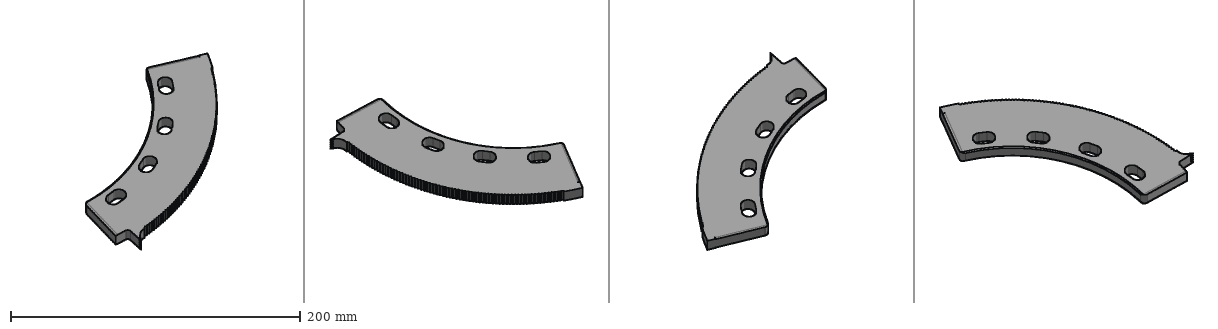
import cadquery as cq
import math

thickness = 9.51
half_thickness = thickness / 2
inner_radius = 112.75
outer_radius = 158.0
segment_angle = 72.0
start_face_y = 0.23
corner_radius = 3.5

shoulder_x = 150.6
shoulder_fillet = 2.4
pawl_angle = 4.15
pawl_tip_x = 164.38
pawl_root_radius = 7.8
pawl_root_x = 164.5
pawl_root_y = 20.5
pawl_lip_x = 163.0

notch_count = 4
notch_pitch = 2.0
notch_angle = 60.0
notch_depth = notch_pitch / 2 / math.tan(math.radians(notch_angle / 2))

groove_count = 70
groove_pitch_angle = 0.851
serration_start = 7.52
serration_end = serration_start + groove_count * groove_pitch_angle
crest_radius = 157.4
valley_radius = 156.77

slot_count = 4
slot_length = 15.6
slot_width = 10.1
slot_pitch_radius = 123.1
slot_first_angle = 10.0
slot_pitch_angle = 17.55

arc_bevel_width = 1.0
arc_bevel_drop = 0.8
end_bevel_width = 1.6
end_bevel_drop = 0.4
end_bevel_outer_radius = 152.0


def polar(radius, angle):
    """Point at a radius and an angle in degrees about the Z axis."""
    a = math.radians(angle)
    return radius * math.cos(a), radius * math.sin(a)


def serrated_edge(outline):
    """Continue an outline with straight-sided V grooves along the outer edge."""
    outline = outline.lineTo(*polar(crest_radius, serration_start))
    for i in range(groove_count):
        angle = serration_start + i * groove_pitch_angle
        outline = outline.lineTo(*polar(valley_radius, angle + groove_pitch_angle / 2))
        outline = outline.lineTo(*polar(crest_radius, angle + groove_pitch_angle))
    return outline


def pawl_root_point(direction):
    """Point on the concave flank of the pawl, by direction in degrees from its centre."""
    dx, dy = polar(pawl_root_radius, direction)
    return pawl_root_x + dx, pawl_root_y + dy


def make_plate():
    """Extrude the ring segment with its pawl and serrated edge."""
    inner_start_x = math.sqrt(inner_radius**2 - start_face_y**2)
    slope = math.tan(math.radians(pawl_angle))
    flank_start = 180.0
    lip_turn = math.degrees(math.acos((pawl_root_x - pawl_lip_x) / pawl_root_radius))
    lip_direction = flank_start + lip_turn
    flank_middle = (flank_start + lip_direction) / 2
    root_x, root_y = pawl_root_point(flank_start)
    root_angle = math.degrees(math.atan2(root_y, root_x))

    outline = (
        cq.Workplane("XY", origin=(0, 0, -half_thickness))
        .moveTo(inner_start_x, start_face_y)
        .lineTo(shoulder_x, start_face_y)
        .lineTo(shoulder_x, shoulder_x * slope)
        .lineTo(pawl_tip_x, pawl_tip_x * slope)
        .lineTo(*pawl_root_point(lip_direction))
        .threePointArc(pawl_root_point(flank_middle), (root_x, root_y))
        .threePointArc(
            polar(outer_radius, (root_angle + serration_start) / 2),
            polar(outer_radius, serration_start),
        )
    )
    outline = (
        serrated_edge(outline)
        .lineTo(*polar(outer_radius, serration_end))
        .threePointArc(
            polar(outer_radius, (serration_end + segment_angle) / 2),
            polar(outer_radius, segment_angle),
        )
        .lineTo(*polar(inner_radius, segment_angle))
        .threePointArc(
            polar(inner_radius, segment_angle / 2),
            (inner_start_x, start_face_y),
        )
        .close()
    )
    plate = outline.extrude(thickness)
    for angle in (0, segment_angle):
        corner = polar(inner_radius, angle)
        plate = plate.edges(cq.NearestToPointSelector((*corner, 0))).fillet(corner_radius)
    shoulder = (shoulder_x, shoulder_x * slope, 0)
    return plate.edges(cq.NearestToPointSelector(shoulder)).fillet(shoulder_fillet)


def make_slots():
    """Straight round-ended slots spaced evenly along the arc."""
    slots = cq.Workplane("XY")
    for i in range(slot_count):
        slot = (
            cq.Workplane("XY", origin=(slot_pitch_radius, 0, -half_thickness))
            .slot2D(slot_length, slot_width, 90)
            .extrude(thickness)
            .rotate((0, 0, 0), (0, 0, 1), slot_first_angle + i * slot_pitch_angle)
        )
        slots = slots.add(slot)
    return slots.combine()


def make_tip_notches():
    """V notches stacked along Z that run across the pawl tip."""
    notches = cq.Workplane("XY")
    for i in range(notch_count):
        z = (i - (notch_count - 1) / 2) * notch_pitch
        notch = (
            cq.Workplane("XZ")
            .moveTo(pawl_tip_x - notch_depth, z)
            .lineTo(pawl_tip_x, z + notch_pitch / 2)
            .lineTo(pawl_tip_x, z - notch_pitch / 2)
            .close()
            .extrude(-pawl_root_y)
        )
        notches = notches.add(notch)
    return notches.combine()


def make_arc_bevels():
    """Conical bevels along the inner edge of both flat faces."""
    edge_radius = inner_radius + arc_bevel_width
    bevels = cq.Workplane("XY")
    for side in (1, -1):
        face_z = side * half_thickness
        bevel = (
            cq.Workplane("XZ")
            .moveTo(inner_radius, face_z - side * arc_bevel_drop)
            .lineTo(edge_radius, face_z)
            .lineTo(inner_radius, face_z)
            .close()
            .revolve(360, (0, 0, 0), (0, 1, 0))
        )
        bevels = bevels.add(bevel)
    return bevels.combine()


def end_bevel_pair(face_y, inward):
    """Shallow bevels along an end face that lies at face_y, with inward = +1 or -1 along Y."""
    pair = cq.Workplane("XY")
    for side in (1, -1):
        face_z = side * half_thickness
        bevel = (
            cq.Workplane("YZ", origin=(inner_radius, 0, 0))
            .moveTo(face_y, face_z - side * end_bevel_drop)
            .lineTo(face_y + inward * end_bevel_width, face_z)
            .lineTo(face_y, face_z)
            .close()
            .extrude(end_bevel_outer_radius - inner_radius)
        )
        pair = pair.add(bevel)
    return pair.combine()


start_bevels = end_bevel_pair(start_face_y, 1)
far_bevels = end_bevel_pair(0, -1).rotate((0, 0, 0), (0, 0, 1), segment_angle)

result = (
    make_plate()
    .cut(make_slots())
    .cut(make_tip_notches())
    .cut(make_arc_bevels())
    .cut(start_bevels)
    .cut(far_bevels)
)